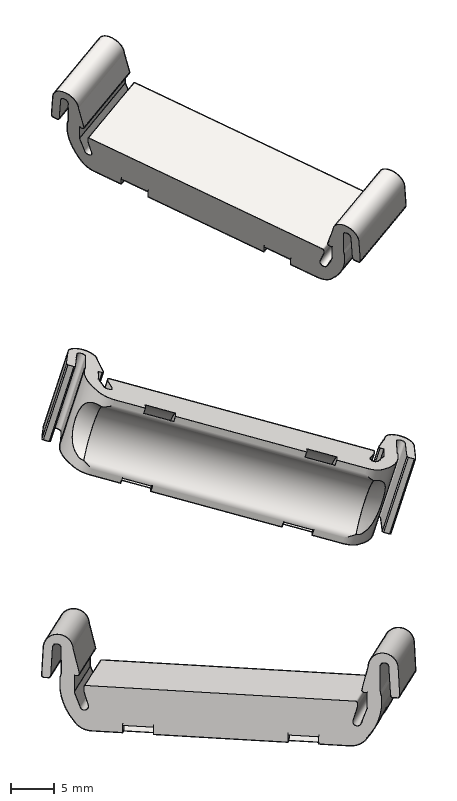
import cadquery as cq
import math

length = 42.25
width = 10.0
height = 11.55
body_height = 5.5
half_length = length / 2
half_width = width / 2

channel_radius = 4.22
channel_height = 2.3
channel_center_z = channel_height - channel_radius
lip_start_y = 4.22
lip_radius = channel_center_z**2 / (2 * (channel_radius + channel_center_z))

flare_radius = 5.1
flare_outer_x = 18.6
flare_inner_x = 16.47

tie_x = 9.75
tie_width = 3.65
tie_inner_radius = 4.75
tie_outer_radius = 5.75

slot_side_x = 5.0
edge_round = 0.2
leg_bottom_z = 6.15
leg_width = 1.05
leg_tip_round = 0.15
barb_tip_z = 6.65


def make_left_half():
    """Body half and its clip, extruded across the full width."""
    profile = (
        cq.Workplane("XZ", origin=(-half_length, half_width, 0))
        .moveTo(half_length, 0)
        .lineTo(half_length, body_height)
        .lineTo(slot_side_x + edge_round, body_height)
        .tangentArcPoint((slot_side_x, body_height - edge_round), relative=False)
        .lineTo(slot_side_x, 4.77)
        .lineTo(5.47, 3.2)
        .threePointArc((5.03, 2.5), (4.5, 2.9))
        .lineTo(3.85, 4.65)
        .lineTo(3.85, barb_tip_z)
        .lineTo(4.3, barb_tip_z)
        .lineTo(4.48, barb_tip_z + edge_round)
        .lineTo(3.7, 9.85)
        .threePointArc((1.95, height), (0.15, 9.85))
        .lineTo(0, 6.75)
        .lineTo(0, leg_bottom_z + leg_tip_round)
        .lineTo(leg_tip_round, leg_bottom_z)
        .lineTo(leg_width - leg_tip_round, leg_bottom_z)
        .lineTo(leg_width, leg_bottom_z + leg_tip_round)
        .lineTo(1.25, 9.9)
        .threePointArc((1.795, 10.35), (2.3, 9.9))
        .lineTo(2.3, 6.75)
        .lineTo(2.15, 6.35)
        .lineTo(2.15, 4.8)
        .threePointArc((2.75, 2.75), (3.8, 1.1))
        .threePointArc((4.7, 0.3), (5.85, 0))
        .close()
    )
    return profile.extrude(width)


def make_channel():
    """Channel cutter with convex rounds where it meets the underside."""
    reach = channel_radius / (channel_radius + lip_radius)
    touch_y = lip_start_y * reach
    touch_z = channel_center_z + (lip_radius - channel_center_z) * reach
    end_angle = math.atan2(touch_z - lip_radius, touch_y - lip_start_y) % (2 * math.pi)
    middle_angle = (end_angle + 1.5 * math.pi) / 2
    middle_y = lip_start_y + lip_radius * math.cos(middle_angle)
    middle_z = lip_radius + lip_radius * math.sin(middle_angle)
    return (
        cq.Workplane("YZ", origin=(-half_length, 0, 0))
        .moveTo(-lip_start_y, 0)
        .threePointArc((-middle_y, middle_z), (-touch_y, touch_z))
        .threePointArc((0, channel_height), (touch_y, touch_z))
        .threePointArc((middle_y, middle_z), (lip_start_y, 0))
        .close()
        .extrude(length)
    )


def make_flare(side):
    """Cone that widens the channel towards one end; side is -1 or 1."""
    return cq.Workplane(
        cq.Solid.makeCone(
            channel_radius,
            flare_radius,
            flare_outer_x - flare_inner_x,
            cq.Vector(side * flare_inner_x, 0, channel_center_z),
            cq.Vector(side, 0, 0),
        )
    )


def make_tie_tunnel(center_x):
    """Ring concentric with the channel, breaking out at both long sides."""
    return (
        cq.Workplane("YZ", origin=(center_x - tie_width / 2, 0, 0))
        .center(0, channel_center_z)
        .circle(tie_outer_radius)
        .circle(tie_inner_radius)
        .extrude(tie_width)
    )


left_half = make_left_half()
result = left_half.union(left_half.mirror("YZ")).cut(make_channel())
for side in (-1, 1):
    result = result.cut(make_flare(side))
    result = result.cut(make_tie_tunnel(side * tie_x))